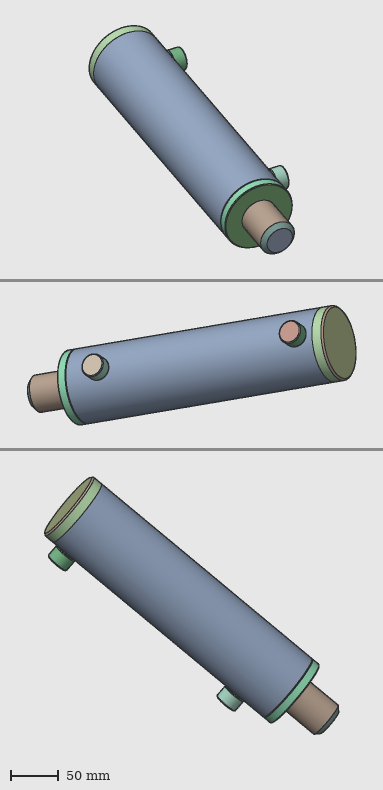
import cadquery as cq

overall_length = 360.0
body_diameter = 80.0
body_radius = body_diameter / 2
body_length = 312.5

cap_length = 12.5
cap_chamfer = 2.0
gland_length = 9.5
gland_chamfer = 0.9
ring_thickness = 1.0
barrel_length = body_length - cap_length - ring_thickness - gland_length

rod_diameter = body_diameter / 2
rod_chamfer = 5.0

total_depth = 95.0
port_length = total_depth - body_diameter
port_diameter = 25.2
port_chamfer = 1.0
port_positions = (31.5, 263.5)

cap_start = -overall_length / 2
barrel_start = cap_start + cap_length
ring_start = barrel_start + barrel_length
gland_start = ring_start + ring_thickness
rod_start = gland_start + gland_length
rod_length = overall_length - body_length


def axial_cylinder(start, length, diameter):
    """Solid cylinder along X, starting at the given station."""
    return cq.Workplane("YZ", origin=(start, 0, 0)).circle(diameter / 2).extrude(length)


def make_end_cap():
    return axial_cylinder(cap_start, cap_length, body_diameter).faces("<X").chamfer(cap_chamfer)


def make_barrel():
    return axial_cylinder(barrel_start, barrel_length, body_diameter)


def make_seal_ring():
    return axial_cylinder(ring_start, ring_thickness, body_diameter)


def make_gland():
    return axial_cylinder(gland_start, gland_length, body_diameter).faces(">X").chamfer(gland_chamfer)


def make_rod():
    return axial_cylinder(rod_start, rod_length, rod_diameter).faces(">X").chamfer(rod_chamfer)


def make_port(distance_from_cap_face):
    """Short cylinder along Y, chamfered at both ends, with its flat base tangent to the barrel."""
    port = (
        cq.Workplane("ZX", origin=(cap_start + distance_from_cap_face, body_radius, 0))
        .circle(port_diameter / 2)
        .extrude(port_length)
    )
    return port.faces("<Y or >Y").chamfer(port_chamfer)


end_cap = make_end_cap()
barrel = make_barrel()
seal_ring = make_seal_ring()
gland = make_gland()
rod = make_rod()
ports = [make_port(position) for position in port_positions]

result = cq.Compound.makeCompound(
    [end_cap.val(), barrel.val(), seal_ring.val(), gland.val(), rod.val()]
    + [port.val() for port in ports]
)